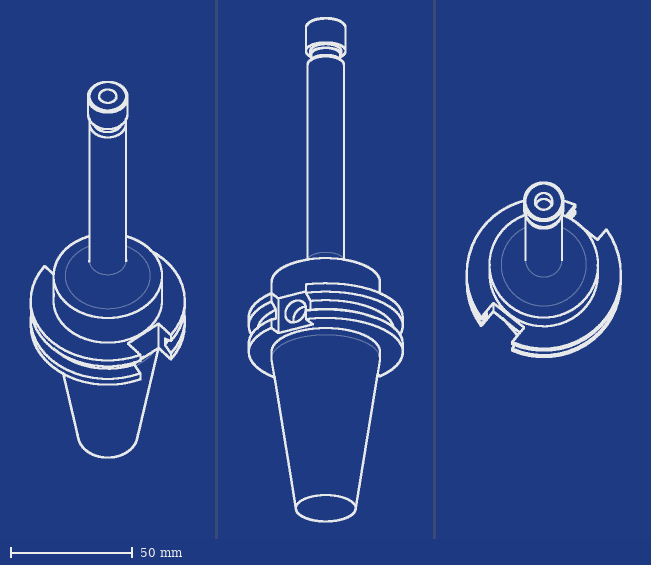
import cadquery as cq
import math

gauge_radius = 22.3
taper_length = 68.5
taper_slope = 7 / 48
tip_radius = gauge_radius - taper_length * taper_slope

flange_diameter = 63.3
flange_radius = flange_diameter / 2
flange_bottom = 71.5
flange_top = 87.4
flange_middle = (flange_bottom + flange_top) / 2
groove_radius = 28.0
groove_root_width = 4.0
groove_slope_angle = 30
groove_mouth_width = groove_root_width + 2 * (flange_radius - groove_radius) * math.tan(
    math.radians(groove_slope_angle)
)

slot_width = 16.3
left_slot_distance = 25.0
right_slot_distance = 22.7
slot_hole_diameter = 9.7
slot_hole_depth = 6.6

hub_top = 103.5
shank_radius = 7.5
blend_radius = 10.0

neck_radius = 6.0
neck_bottom = 204.5
shank_top = neck_bottom - (shank_radius - neck_radius)
collar_radius = 6.5
collar_bottom = 207.6
head_radius = 8.2
head_bottom = 209.2
head_top = 220.6
head_chamfer = 0.7
head_hole_diameter = 7.0
head_hole_depth = 11.0


def turned_body():
    """Revolve the half profile of the whole holder about Z."""
    blend_mid_offset = blend_radius * (1 - math.sqrt(0.5))
    return (
        cq.Workplane("XZ")
        .lineTo(tip_radius, 0)
        .lineTo(gauge_radius, taper_length)
        .lineTo(gauge_radius, flange_bottom)
        .lineTo(flange_radius, flange_bottom)
        .lineTo(flange_radius, flange_middle - groove_mouth_width / 2)
        .lineTo(groove_radius, flange_middle - groove_root_width / 2)
        .lineTo(groove_radius, flange_middle + groove_root_width / 2)
        .lineTo(flange_radius, flange_middle + groove_mouth_width / 2)
        .lineTo(flange_radius, flange_top)
        .lineTo(gauge_radius, flange_top)
        .lineTo(gauge_radius, hub_top)
        .lineTo(shank_radius + blend_radius, hub_top)
        .threePointArc(
            (shank_radius + blend_mid_offset, hub_top + blend_mid_offset),
            (shank_radius, hub_top + blend_radius),
        )
        .lineTo(shank_radius, shank_top)
        .lineTo(neck_radius, neck_bottom)
        .lineTo(neck_radius, collar_bottom)
        .lineTo(collar_radius, collar_bottom)
        .lineTo(collar_radius, head_bottom)
        .lineTo(head_radius, head_bottom)
        .lineTo(head_radius, head_top - head_chamfer)
        .lineTo(head_radius - head_chamfer, head_top)
        .lineTo(0, head_top)
        .close()
        .revolve(360, (0, 0, 0), (0, 1, 0))
    )


def drive_slot(side, floor_distance):
    """Cutter reaching from the slot floor out past the flange rim."""
    return cq.Workplane("XY").box(
        flange_radius, slot_width, flange_top - flange_bottom
    ).translate((side * (floor_distance + flange_radius / 2), 0, flange_middle))


def slot_hole():
    """Radial blind hole in the -X slot floor."""
    return (
        cq.Workplane("YZ", origin=(-left_slot_distance, 0, flange_middle))
        .circle(slot_hole_diameter / 2)
        .extrude(slot_hole_depth)
    )


def head_hole():
    """Blind hole down the axis of the head."""
    return (
        cq.Workplane("XY", origin=(0, 0, head_top))
        .circle(head_hole_diameter / 2)
        .extrude(-head_hole_depth)
    )


result = (
    turned_body()
    .cut(drive_slot(-1, left_slot_distance))
    .cut(drive_slot(1, right_slot_distance))
    .cut(slot_hole())
    .cut(head_hole())
)